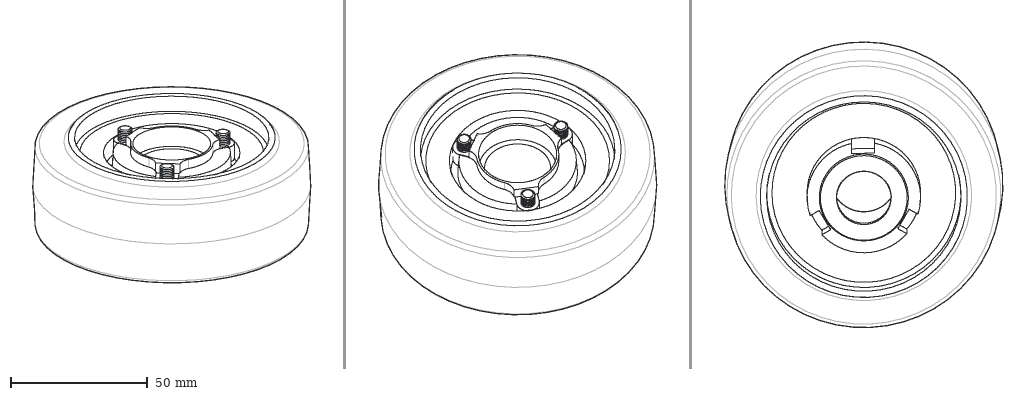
import cadquery as cq
import math

TYRE_RADIUS = 50.8
TREAD_EDGE_RADIUS = 50.0
TREAD_EDGE_Z = 15.2
SIDEWALL_OUTER_RADIUS = 48.4
SIDEWALL_OUTER_Z = 16.7
SIDEWALL_INNER_RADIUS = 39.3
SIDEWALL_INNER_Z = 17.5
LIP_OUTER_RADIUS = 37.8
LIP_INNER_RADIUS = 35.5
LIP_Z = 19.1

WHEEL_RADIUS = 33.5
WHEEL_FACE_Z = 13.0
POCKET_TOP_RADIUS = 24.9
POCKET_FLOOR_RADIUS = 24.4
POCKET_FLOOR_Z = 6.6

HUB_TOP_Z = 16.7
DISC_TOP_RADIUS = 21.4
DISC_BOTTOM_RADIUS = 21.8
DISC_TOP_Z = WHEEL_FACE_Z
RING_RADIUS = 15.0
LOBE_HALF_WIDTH = 4.5
LOBE_END = 17.3
LOBE_FILLET = 5.5
LUG_HALF_WIDTH = 4.2
LEDGE_Z = 12.7
BODY_RADIUS = 20.7
BODY_BOTTOM_Z = -20.5
NOTCH_FLOOR = 16.6
FOOT_TOP_RADIUS = 16.3
FOOT_BOTTOM_RADIUS = 15.8
FOOT_Z = -21.3
BEARING_RADIUS = 14.2
BEARING_FLOOR_Z = 8.8
BORE_RADIUS = 12.1
BORE_FLOOR_Z = -LIP_Z
THROUGH_RADIUS = 10.0

SCREW_ANGLES = (90, 210, 330)
SCREW_PITCH_RADIUS = 20.7
SCREW_RADIUS = 2.5
SCREW_ROOT_RADIUS = 1.9
SCREW_TOP_Z = 17.4
SCREW_BOTTOM_Z = POCKET_FLOOR_Z
THREAD_PITCH = 0.7
THREAD_COUNT = 6


def cylinder(radius, bottom, top):
    return cq.Workplane("XY").workplane(offset=bottom).circle(radius).extrude(top - bottom)


def cone(bottom_radius, top_radius, bottom, top):
    return cq.Workplane("XY").add(
        cq.Solid.makeCone(bottom_radius, top_radius, top - bottom, pnt=cq.Vector(0, 0, bottom))
    )


def radial_block(inner, outer, half_width, bottom, top):
    """Block along +X from inner to outer."""
    return (
        cq.Workplane("XY")
        .workplane(offset=bottom)
        .center((inner + outer) / 2, 0)
        .rect(outer - inner, 2 * half_width)
        .extrude(top - bottom)
    )


def at_angle(body, angle):
    """Copy of body turned about the Z axis."""
    return body.rotate((0, 0, 0), (0, 0, 1), angle)


def make_tyre():
    """Upper half revolved about Z, with its mirror image below."""
    upper = (
        cq.Workplane("XZ")
        .moveTo(WHEEL_RADIUS, 0)
        .lineTo(TYRE_RADIUS, 0)
        .lineTo(TREAD_EDGE_RADIUS, TREAD_EDGE_Z)
        .tangentArcPoint((SIDEWALL_OUTER_RADIUS, SIDEWALL_OUTER_Z), relative=False)
        .lineTo(SIDEWALL_INNER_RADIUS, SIDEWALL_INNER_Z)
        .tangentArcPoint((LIP_OUTER_RADIUS, LIP_Z), relative=False)
        .lineTo(LIP_INNER_RADIUS, LIP_Z)
        .lineTo(LIP_INNER_RADIUS, WHEEL_FACE_Z)
        .lineTo(WHEEL_RADIUS, WHEEL_FACE_Z)
        .close()
        .revolve(360, (0, 0, 0), (0, 1, 0))
    )
    return upper.union(upper.mirror("XY"))


def make_pocket():
    """Tapered space in the wheel that holds the hub disc and lugs."""
    return cone(POCKET_FLOOR_RADIUS, POCKET_TOP_RADIUS, POCKET_FLOOR_Z, WHEEL_FACE_Z)


def make_wheel():
    """Disc with the hub pocket above and a bore for the hub body below it."""
    disc = cylinder(WHEEL_RADIUS, -WHEEL_FACE_Z, WHEEL_FACE_Z)
    return disc.cut(make_pocket()).cut(cylinder(BODY_RADIUS, -WHEEL_FACE_Z, POCKET_FLOOR_Z))


def make_lobe():
    """Part of the crown along +X, flaring into the ring through a concave arc on each side."""
    arc_y = LOBE_HALF_WIDTH + LOBE_FILLET
    arc_distance = RING_RADIUS + LOBE_FILLET
    arc_x = math.sqrt(arc_distance**2 - arc_y**2)
    ring_point = (arc_x * RING_RADIUS / arc_distance, arc_y * RING_RADIUS / arc_distance)
    end_y = arc_y - math.sqrt(LOBE_FILLET**2 - (arc_x - LOBE_END) ** 2)
    middle = ((ring_point[0] + LOBE_END) / 2 - arc_x, (ring_point[1] + end_y) / 2 - arc_y)
    stretch = LOBE_FILLET / math.hypot(*middle)
    arc_middle = (arc_x + stretch * middle[0], arc_y + stretch * middle[1])
    half = (
        cq.Workplane("XY")
        .workplane(offset=DISC_TOP_Z)
        .lineTo(*ring_point)
        .threePointArc(arc_middle, (LOBE_END, end_y))
        .lineTo(LOBE_END, 0)
        .close()
        .extrude(HUB_TOP_Z - DISC_TOP_Z)
    )
    return half.union(half.mirror("XZ"))


def make_lug():
    """Lug along +X with a round tip about the screw axis, kept inside the wheel's pocket."""
    straight = radial_block(LOBE_END, SCREW_PITCH_RADIUS, LUG_HALF_WIDTH, POCKET_FLOOR_Z, LEDGE_Z)
    tip = cylinder(LUG_HALF_WIDTH, POCKET_FLOOR_Z, LEDGE_Z).translate((SCREW_PITCH_RADIUS, 0, 0))
    return straight.union(tip).intersect(make_pocket())


def make_hub(screws):
    """Stack of round steps with lobes, lugs and notches at the screws, bored through in three steps."""
    hub = cone(DISC_BOTTOM_RADIUS, DISC_TOP_RADIUS, POCKET_FLOOR_Z, DISC_TOP_Z)
    hub = hub.union(cylinder(BODY_RADIUS, BODY_BOTTOM_Z, POCKET_FLOOR_Z))
    hub = hub.union(cone(FOOT_BOTTOM_RADIUS, FOOT_TOP_RADIUS, FOOT_Z, BODY_BOTTOM_Z))
    hub = hub.union(cylinder(RING_RADIUS, DISC_TOP_Z, HUB_TOP_Z))
    ledge_cut = radial_block(LOBE_END, POCKET_TOP_RADIUS, LUG_HALF_WIDTH, LEDGE_Z, HUB_TOP_Z)
    notch = radial_block(NOTCH_FLOOR, BODY_RADIUS, LUG_HALF_WIDTH, BODY_BOTTOM_Z, -WHEEL_FACE_Z)
    for angle in SCREW_ANGLES:
        hub = hub.union(at_angle(make_lobe(), angle)).union(at_angle(make_lug(), angle))
        hub = hub.cut(at_angle(ledge_cut, angle)).cut(at_angle(notch, angle))
    hub = hub.cut(cylinder(BEARING_RADIUS, BEARING_FLOOR_Z, HUB_TOP_Z))
    hub = hub.cut(cylinder(BORE_RADIUS, BORE_FLOOR_Z, BEARING_FLOOR_Z))
    hub = hub.cut(cylinder(THROUGH_RADIUS, FOOT_Z, BORE_FLOOR_Z))
    for screw in screws:
        hub = hub.cut(screw)
    return hub


def make_screw():
    """Plain shank in the lug and ring-shaped threads above the ledge, standing on the +X side."""
    profile = cq.Workplane("XZ").moveTo(0, SCREW_BOTTOM_Z).lineTo(SCREW_RADIUS, SCREW_BOTTOM_Z)
    profile = profile.lineTo(SCREW_RADIUS, LEDGE_Z)
    for turn in range(THREAD_COUNT):
        turn_z = LEDGE_Z + turn * THREAD_PITCH
        profile = profile.lineTo(SCREW_ROOT_RADIUS, turn_z + THREAD_PITCH / 2)
        profile = profile.lineTo(SCREW_RADIUS, turn_z + THREAD_PITCH)
    profile = profile.lineTo(SCREW_ROOT_RADIUS, SCREW_TOP_Z).lineTo(0, SCREW_TOP_Z).close()
    return profile.revolve(360, (0, 0, 0), (0, 1, 0)).translate((SCREW_PITCH_RADIUS, 0, 0))


screws = [at_angle(make_screw(), angle) for angle in SCREW_ANGLES]
tyre = make_tyre()
wheel = make_wheel()
hub = make_hub(screws)

result = cq.Compound.makeCompound(
    [tyre.val(), wheel.val(), hub.val(), *[screw.val() for screw in screws]]
)